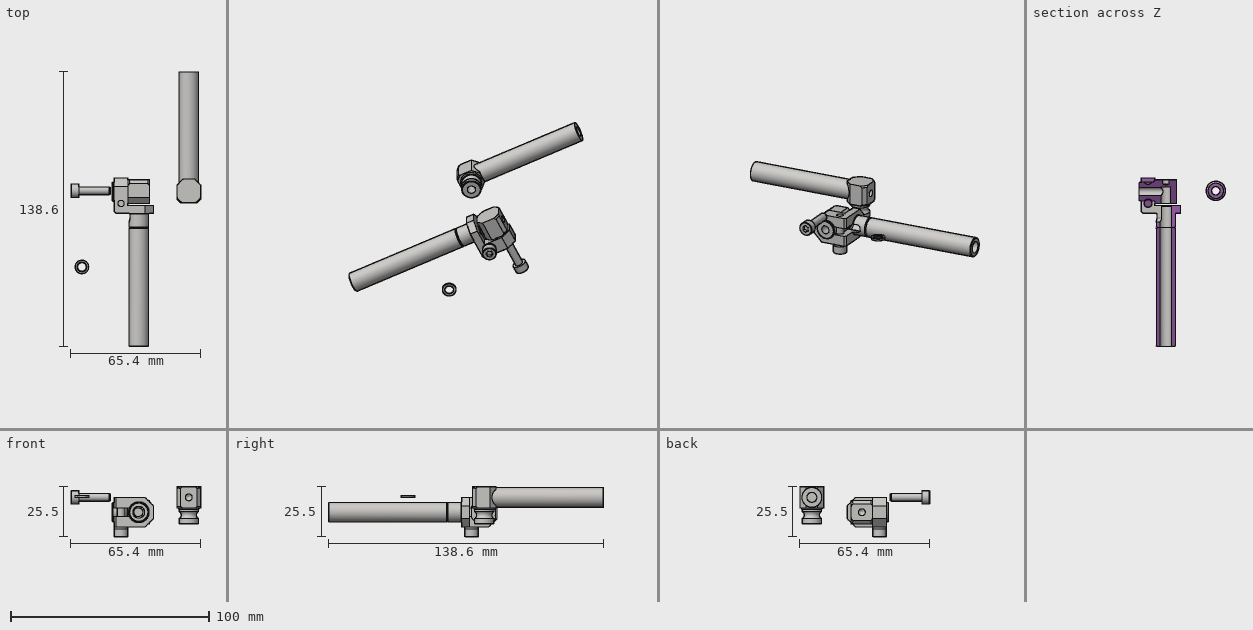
import cadquery as cq
import math


TUBE_DIA = 10.0
TUBE_BORE = 6.0
TUBE_LENGTH = 60.0
TUBE_EDGE = 0.4
DRILL_TIP_ANGLE = 118

BLOCK_WIDTH = 12.0
BLOCK_HEIGHT = 11.0
BLOCK_PLAIN_CHAMFER = 1.8
BLOCK_TUBE_CHAMFER = 3.2
BLOCK_END_RADIUS = 6.8
BLOCK_TAPER_WIDTH = 0.7
BLOCK_TAPER_HEIGHT = 1.2
NECK_DIA = 9.8
NECK_LENGTH = 8.0
NECK_ROOT_CHAMFER = 0.5
NECK_END_CHAMFER = 0.4
GROOVE_RADIUS = 2.1
GROOVE_DEPTH_ON_NECK = 3.5
BLIND_HOLE_DIA = 3.5
BLIND_HOLE_DEPTH = 2.1
CROSS_BORE = 5.0
CROSS_BORE_OVERRUN = 2.2
NECK_BORE = 4.2

SCREW_DIA = 4.0
SCREW_LENGTH = 16.0
SCREW_TIP_DIA = 3.2
SCREW_TIP_LENGTH = 0.7
HEAD_DIA = 7.0
HEAD_HEIGHT = 4.0
HEAD_EDGE = 0.3
HEX_WIDTH = 3.0
HEX_DEPTH = 2.0
WASHER_DIA = 7.0
WASHER_BORE = 4.3
WASHER_COUNTERSINK = 5.0
WASHER_THICKNESS = 1.0

CLAMP_HEIGHT = SCREW_LENGTH - WASHER_THICKNESS
CLAMP_LEFT = -12.5
CLAMP_RIGHT = 7.5
CLAMP_BACK = 7.0
CLAMP_FRONT = -11.0
LEG_INNER_FACE = -BLOCK_HEIGHT / 2
FLANGE_THICKNESS = 4.0
CLAMP_END_CHAMFER = 4.3
CLAMP_CORNER_CHAMFER = 1.0
SPIGOT_END = -18.2
SPIGOT_ROOT_CHAMFER = 0.3
FLANGE_HOLE = 4.2
SLIT_WIDTH = 4.2
SLIT_END = -15.4

SCREW_X = LEG_INNER_FACE - GROOVE_DEPTH_ON_NECK
SCREW_Y = -6.0
UPPER_ARM_PLACE = (25.2, 0.4, CLAMP_HEIGHT / 2)
LOOSE_SCREW_LEFT = -34.2
LOOSE_WASHER_PLACE = (-28.7, -38.0, 7.3)


def make_block():
    """Square block with chamfered upright edges and turned ends, centred on the origin."""
    block = cq.Workplane("XY").box(BLOCK_WIDTH, BLOCK_WIDTH, BLOCK_HEIGHT)
    block = block.edges("|Z and <Y").chamfer(BLOCK_PLAIN_CHAMFER)
    block = block.edges("|Z and >Y").chamfer(BLOCK_TUBE_CHAMFER)
    half = BLOCK_HEIGHT / 2
    wide = BLOCK_END_RADIUS + BLOCK_TAPER_WIDTH
    shoulder = half - BLOCK_TAPER_HEIGHT
    turned = (
        cq.Workplane("XZ")
        .polyline([(0, -half), (BLOCK_END_RADIUS, -half), (wide, -shoulder),
                   (wide, shoulder), (BLOCK_END_RADIUS, half), (0, half)])
        .close()
        .revolve(360, (0, 0, 0), (0, 1, 0))
    )
    return block.intersect(turned)


def make_neck():
    """Plain neck below the block: flared root and chamfered end, without the groove."""
    radius = NECK_DIA / 2
    root = -BLOCK_HEIGHT / 2
    end = root - NECK_LENGTH
    return (
        cq.Workplane("XZ")
        .polyline([(0, root), (radius + NECK_ROOT_CHAMFER, root), (radius, root - NECK_ROOT_CHAMFER),
                   (radius, end + NECK_END_CHAMFER), (radius - NECK_END_CHAMFER, end), (0, end)])
        .close()
        .revolve(360, (0, 0, 0), (0, 1, 0))
    )


def make_groove():
    """Ring that the clamp screw runs in, cut around the neck."""
    groove_z = -BLOCK_HEIGHT / 2 - GROOVE_DEPTH_ON_NECK
    return (
        cq.Workplane("XZ")
        .center(-SCREW_Y, groove_z)
        .circle(GROOVE_RADIUS)
        .revolve(360, (SCREW_Y, 0, 0), (SCREW_Y, 1, 0))
    )


def make_blind_hole():
    """Drilled hole with a conical bottom in the face opposite the tube side."""
    radius = BLIND_HOLE_DIA / 2
    face_y = -BLOCK_WIDTH / 2
    bottom_y = face_y + BLIND_HOLE_DEPTH
    tip_y = bottom_y + radius / math.tan(math.radians(DRILL_TIP_ANGLE / 2))
    return (
        cq.Workplane("XY")
        .polyline([(0, face_y), (radius, face_y), (radius, bottom_y), (0, tip_y)])
        .close()
        .revolve(360, (0, 0, 0), (0, 1, 0))
    )


def y_cylinder(dia, y_start, y_end):
    """Cylinder on the Y axis from y_start to y_end."""
    return cq.Workplane("XZ", origin=(0, y_start, 0)).circle(dia / 2).extrude(y_start - y_end)


def make_knuckle(with_tube):
    """Knuckle with its neck along -Z and its tube side at +Y, centred on the block."""
    knuckle = make_block().union(make_neck()).cut(make_groove())
    bore_end = BLOCK_WIDTH / 2
    if with_tube:
        knuckle = knuckle.union(y_cylinder(TUBE_DIA, 0, TUBE_LENGTH))
        bore_end = TUBE_LENGTH
    neck_bore = cq.Workplane("XY").circle(NECK_BORE / 2).extrude(-BLOCK_HEIGHT / 2 - NECK_LENGTH)
    cross_bore = y_cylinder(CROSS_BORE, -CROSS_BORE_OVERRUN, bore_end)
    return knuckle.cut(neck_bore).cut(cross_bore).cut(make_blind_hole())


def make_screw_shank():
    """Shank along +Z with a tapered tip, its head end at the origin."""
    radius = SCREW_DIA / 2
    return (
        cq.Workplane("XZ")
        .polyline([(0, 0), (radius, 0), (radius, SCREW_LENGTH - SCREW_TIP_LENGTH),
                   (SCREW_TIP_DIA / 2, SCREW_LENGTH), (0, SCREW_LENGTH)])
        .close()
        .revolve(360, (0, 0, 0), (0, 1, 0))
    )


def make_screw():
    """Socket head screw pointing along +Z, seated at the origin."""
    head = cq.Workplane("XY").circle(HEAD_DIA / 2).extrude(-HEAD_HEIGHT)
    head = head.faces("<Z").edges().chamfer(HEAD_EDGE)
    hex_corner_dia = HEX_WIDTH / math.cos(math.radians(30))
    socket = (
        cq.Workplane("XY", origin=(0, 0, -HEAD_HEIGHT))
        .polygon(6, hex_corner_dia)
        .extrude(HEX_DEPTH)
    )
    return head.cut(socket).union(make_screw_shank())


def make_washer():
    """Flat washer on the XY plane, its bore countersunk on top."""
    washer = cq.Workplane("XY").circle(WASHER_DIA / 2).circle(WASHER_BORE / 2).extrude(WASHER_THICKNESS)
    countersink = (WASHER_COUNTERSINK - WASHER_BORE) / 2
    return washer.faces(">Z").edges(cq.selectors.RadiusNthSelector(0)).chamfer(countersink)


def make_tube():
    """Tube on the Y axis that continues the clamp spigot."""
    tube = y_cylinder(TUBE_DIA, SPIGOT_END, SPIGOT_END - TUBE_LENGTH)
    tube = tube.edges().chamfer(TUBE_EDGE)
    return tube.cut(y_cylinder(TUBE_BORE, SPIGOT_END, SPIGOT_END - TUBE_LENGTH))


def turned_to_x(origin):
    """Place at the origin given, turned so that +Z of a body points along +X and +Y along -Y."""
    return cq.Plane(origin=origin, xDir=(0, 0, 1), normal=(1, 0, 0)).location


swivel_place = turned_to_x((0, 0, 0))
screw_seat = cq.Location(cq.Vector(SCREW_X, SCREW_Y, -CLAMP_HEIGHT / 2 - WASHER_THICKNESS))


def make_spigot():
    """Stub in front of the flange: flared at its root, chamfered where the tube meets it."""
    radius = TUBE_DIA / 2
    return (
        cq.Workplane("XY")
        .polyline([(0, CLAMP_FRONT), (radius + SPIGOT_ROOT_CHAMFER, CLAMP_FRONT),
                   (radius, CLAMP_FRONT - SPIGOT_ROOT_CHAMFER), (radius, SPIGOT_END + TUBE_EDGE),
                   (radius - TUBE_EDGE, SPIGOT_END), (0, SPIGOT_END)])
        .close()
        .revolve(360, (0, 0, 0), (0, 1, 0))
    )


def make_clamp_bore(flange_back):
    """Bore from the spigot end whose drill tip breaks through the back of the flange."""
    tip_height = (TUBE_BORE - FLANGE_HOLE) / 2 / math.tan(math.radians(DRILL_TIP_ANGLE / 2))
    return (
        cq.Workplane("XY")
        .polyline([(0, SPIGOT_END), (TUBE_BORE / 2, SPIGOT_END), (TUBE_BORE / 2, flange_back - tip_height),
                   (FLANGE_HOLE / 2, flange_back), (0, flange_back)])
        .close()
        .revolve(360, (0, 0, 0), (0, 1, 0))
    )


def make_clamp():
    """Slit L-shaped clamp with a spigot for the tube."""
    flange_back = CLAMP_FRONT + FLANGE_THICKNESS
    clamp = (
        cq.Workplane("XY", origin=(0, 0, -CLAMP_HEIGHT / 2))
        .polyline([(CLAMP_LEFT, CLAMP_BACK), (LEG_INNER_FACE, CLAMP_BACK), (LEG_INNER_FACE, flange_back),
                   (CLAMP_RIGHT, flange_back), (CLAMP_RIGHT, CLAMP_FRONT), (CLAMP_LEFT, CLAMP_FRONT)])
        .close()
        .extrude(CLAMP_HEIGHT)
    )
    clamp = clamp.faces(">X").edges("|Y").chamfer(CLAMP_END_CHAMFER)
    clamp = clamp.faces(">Y").edges("|X").chamfer(CLAMP_END_CHAMFER)
    clamp = clamp.edges("|Z and <X and <Y").chamfer(CLAMP_CORNER_CHAMFER)

    clamp = clamp.union(make_spigot()).cut(make_clamp_bore(flange_back))

    slit_round_y = SLIT_END + SLIT_WIDTH / 2
    slit = cq.Workplane("XY").box(-CLAMP_LEFT, -slit_round_y, SLIT_WIDTH, centered=(False, False, True))
    slit = slit.translate((CLAMP_LEFT, slit_round_y, 0))
    slit_round = (
        cq.Workplane("YZ", origin=(CLAMP_LEFT, slit_round_y, 0))
        .circle(SLIT_WIDTH / 2)
        .extrude(-CLAMP_LEFT)
    )
    clamp = clamp.cut(slit).cut(slit_round)

    neck_space = make_neck().val().moved(swivel_place)
    neck_bore = (
        cq.Workplane("YZ", origin=(CLAMP_LEFT, 0, 0))
        .circle(NECK_DIA / 2)
        .extrude(LEG_INNER_FACE - CLAMP_LEFT)
    )
    screw_space = make_screw_shank().val().moved(screw_seat)
    return clamp.cut(neck_bore).cut(cq.Workplane(neck_space)).cut(cq.Workplane(screw_space))


clamp = make_clamp().val()
tube = make_tube().val()
swivel_knuckle = make_knuckle(with_tube=False).val().moved(swivel_place)
upper_arm = make_knuckle(with_tube=True).val().moved(cq.Location(cq.Vector(*UPPER_ARM_PLACE)))

loose_screw_seat = (LOOSE_SCREW_LEFT + HEAD_HEIGHT, UPPER_ARM_PLACE[1], UPPER_ARM_PLACE[2])
screws = [make_screw().val().moved(place) for place in (screw_seat, turned_to_x(loose_screw_seat))]
washer_places = [screw_seat, cq.Location(cq.Vector(*LOOSE_WASHER_PLACE))]
washers = [make_washer().val().moved(place) for place in washer_places]

result = cq.Compound.makeCompound([clamp, tube, swivel_knuckle, upper_arm, *screws, *washers])